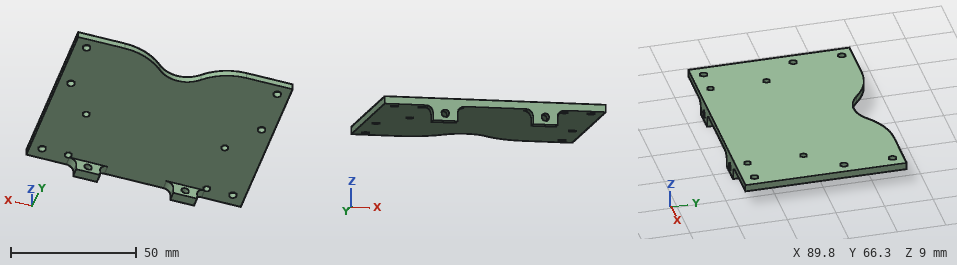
import cadquery as cq
import math

plate_length = 89.8
plate_width = 66.3
plate_thickness = 3.0

scoop_depth = 10.0
valley_radius = 12.5
shoulder_radius = 25.0

mount_hole_diameter = 3.0
mount_side_inset = 5.0
mount_front_inset = 5.0
mount_rear_inset = 4.5
mount_rear_pitch = 20.0

inner_hole_diameter = 2.7
inner_spacing_x = 58.0
inner_spacing_y = 23.0
inner_front_inset = 5.0

lug_spacing = 40.64
lug_width = 10.0
lug_depth = 4.0
lug_height = 6.0
lug_fillet_radius = 3.0
lug_hole_diameter = 3.0
lug_hole_drop = lug_height / 2

half_length = plate_length / 2
front_y = -plate_width / 2
rear_y = plate_width / 2


def make_plate():
    """Flat plate whose rear edge carries the smooth scoop."""
    radius_sum = valley_radius + shoulder_radius
    shoulder_x = math.sqrt(radius_sum**2 - (radius_sum - scoop_depth) ** 2)
    shoulder_center_y = rear_y - shoulder_radius
    blend_angle = math.asin(shoulder_x / radius_sum)
    blend_x = valley_radius * math.sin(blend_angle)
    blend_y = shoulder_center_y + shoulder_radius * math.cos(blend_angle)
    shoulder_mid_x = shoulder_x - shoulder_radius * math.sin(blend_angle / 2)
    shoulder_mid_y = shoulder_center_y + shoulder_radius * math.cos(blend_angle / 2)

    return (
        cq.Workplane("XY")
        .moveTo(-half_length, front_y)
        .lineTo(half_length, front_y)
        .lineTo(half_length, rear_y)
        .lineTo(shoulder_x, rear_y)
        .threePointArc((shoulder_mid_x, shoulder_mid_y), (blend_x, blend_y))
        .threePointArc((0, rear_y - scoop_depth), (-blend_x, blend_y))
        .threePointArc((-shoulder_mid_x, shoulder_mid_y), (-shoulder_x, rear_y))
        .lineTo(-half_length, rear_y)
        .close()
        .extrude(plate_thickness)
    )


def make_lug(center_x):
    """Lug flush with the front edge, flaring into the plate underside."""
    half_width = lug_width / 2
    flare_half_width = half_width + lug_fillet_radius
    arc_offset = lug_fillet_radius * math.sqrt(0.5)
    arc_mid_x = flare_half_width - arc_offset
    arc_mid_z = arc_offset - lug_fillet_radius

    body = (
        cq.Workplane("XZ", origin=(center_x, front_y, 0))
        .moveTo(-flare_half_width, 0)
        .threePointArc((-arc_mid_x, arc_mid_z), (-half_width, -lug_fillet_radius))
        .lineTo(-half_width, -lug_height)
        .lineTo(half_width, -lug_height)
        .lineTo(half_width, -lug_fillet_radius)
        .threePointArc((arc_mid_x, arc_mid_z), (flare_half_width, 0))
        .close()
        .extrude(-lug_depth)
    )
    cross_hole = (
        cq.Workplane("XZ", origin=(center_x, front_y, -lug_hole_drop))
        .circle(lug_hole_diameter / 2)
        .extrude(-lug_depth)
    )
    return body.cut(cross_hole)


def drill_through(body, points, diameter):
    """Drill vertical holes at the given (x, y) points through the full height."""
    drills = (
        cq.Workplane("XY", origin=(0, 0, -lug_height))
        .pushPoints(points)
        .circle(diameter / 2)
        .extrude(lug_height + plate_thickness)
    )
    return body.cut(drills)


mount_x = half_length - mount_side_inset
mount_rear_y = rear_y - mount_rear_inset
mount_rows = [front_y + mount_front_inset, mount_rear_y - mount_rear_pitch, mount_rear_y]
mount_points = [(x, y) for x in (-mount_x, mount_x) for y in mount_rows]

inner_x = inner_spacing_x / 2
inner_front_y = front_y + inner_front_inset
inner_rows = [inner_front_y, inner_front_y + inner_spacing_y]
inner_points = [(x, y) for x in (-inner_x, inner_x) for y in inner_rows]

result = make_plate()
for lug_x in (-lug_spacing / 2, lug_spacing / 2):
    result = result.union(make_lug(lug_x))
result = drill_through(result, mount_points, mount_hole_diameter)
result = drill_through(result, inner_points, inner_hole_diameter)